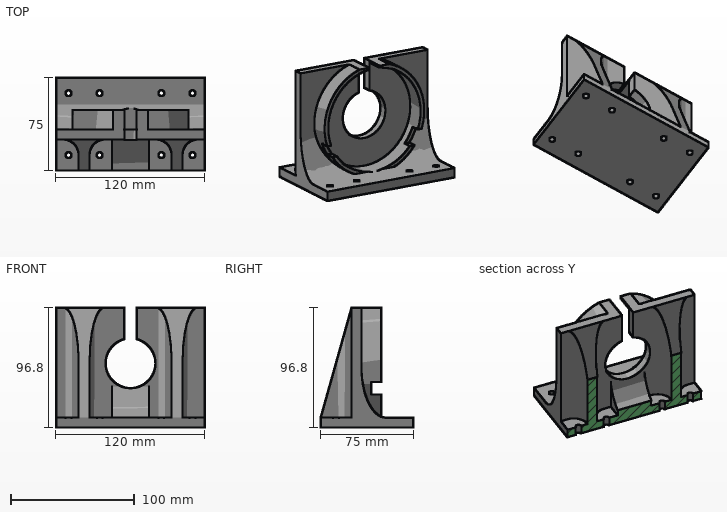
import cadquery as cq
import math

length = 120.0
depth = 75.0
height = 96.8
base_thick = 8.0

wall_front = 25.0
wall_thick = 8.0
wall_back = wall_front + wall_thick

bore_z = 52.0
bore_radius = 20.0
slit_width = 9.8

shell_outer_radius = 47.0
shell_inner_radius = 43.5
shell_back = 49.1

window_front = 41.0
window_top = 36.7
left_window_bottom = 24.0
right_window_bottom = 26.8

flare_run = 20.0
flare_rise = 40.0

rib_x = 37.5
rib_width = 9.0
rib_fillet = 12.0

saddle_width = 30.2
saddle_radius = 30.0

hole_diameter = 4.5
hole_xs = (25.0, 50.0)
hole_ys = (12.5, depth - 12.5)


def box(x0, x1, y0, y1, z0, z1):
    """Box between the given limits."""
    return cq.Workplane("XY").box(x1 - x0, y1 - y0, z1 - z0, centered=False).translate((x0, y0, z0))


def disc(radius, y0, y1):
    """Cylinder along Y on the bore axis."""
    return cq.Workplane("XZ", origin=(0, y0, bore_z)).circle(radius).extrude(y0 - y1)


def side_profile(width, x=0.0):
    """YZ workplane at the start of a feature centred on x."""
    return cq.Workplane("YZ", origin=(x - width / 2, 0, 0))


def make_flare():
    top = base_thick + flare_rise
    ellipse = (
        cq.Workplane("YZ", origin=(-length / 2, wall_back + flare_run, top))
        .ellipse(flare_run, flare_rise)
        .extrude(length)
    )
    block = box(-length / 2, length / 2, wall_back, wall_back + flare_run, base_thick, top)
    return block.cut(ellipse)


def make_rib(x):
    """Rib with large fillets against the wall, trimmed by a sloping front."""
    half = rib_width / 2
    foot = half + rib_fillet
    bend = wall_front - rib_fillet
    diagonal = rib_fillet * math.sqrt(0.5)
    plan = (
        cq.Workplane("XY", origin=(x, 0, base_thick))
        .moveTo(-half, 0)
        .lineTo(half, 0)
        .lineTo(half, bend)
        .threePointArc((foot - diagonal, bend + diagonal), (foot, wall_front))
        .lineTo(-foot, wall_front)
        .threePointArc((-foot + diagonal, bend + diagonal), (-half, bend))
        .close()
        .extrude(height - base_thick)
    )
    slope = (
        side_profile(2 * foot, x)
        .polyline([
            (0, base_thick),
            (wall_front, base_thick),
            (wall_front, height),
        ])
        .close()
        .extrude(2 * foot)
    )
    return plan.intersect(slope)


def make_saddle():
    """Concave block running from the wall to the front edge."""
    half_chord = wall_front * math.sqrt(0.5)
    sagitta = saddle_radius - math.sqrt(saddle_radius**2 - half_chord**2)
    middle_y = wall_front / 2 + sagitta * math.sqrt(0.5)
    top = base_thick + wall_front
    return (
        side_profile(saddle_width)
        .moveTo(0, base_thick)
        .threePointArc((middle_y, top - middle_y), (wall_front, top))
        .lineTo(wall_front, base_thick)
        .close()
        .extrude(saddle_width)
    )


base = box(-length / 2, length / 2, 0, depth, 0, base_thick)
wall = box(-length / 2, length / 2, wall_front, wall_back, base_thick, height)

shell = disc(shell_outer_radius, wall_back, shell_back).intersect(
    box(-length / 2, length / 2, wall_back, shell_back, base_thick, height)
)
shell = shell.union(make_flare()).cut(disc(shell_inner_radius, wall_back, depth))
for x0, x1, bottom in (
    (-shell_outer_radius, 0, left_window_bottom),
    (0, shell_outer_radius, right_window_bottom),
):
    shell = shell.cut(box(x0, x1, window_front, shell_back, bottom, window_top))

result = base.union(wall).union(shell).union(make_saddle())
for side in (-1, 1):
    result = result.union(make_rib(side * rib_x))

result = result.cut(disc(bore_radius, 0, wall_back))
result = result.cut(box(-slit_width / 2, slit_width / 2, wall_front, shell_back, bore_z, height))

holes = [(side * x, y) for side in (-1, 1) for x in hole_xs for y in hole_ys]
result = result.cut(
    cq.Workplane("XY").pushPoints(holes).circle(hole_diameter / 2).extrude(base_thick)
)